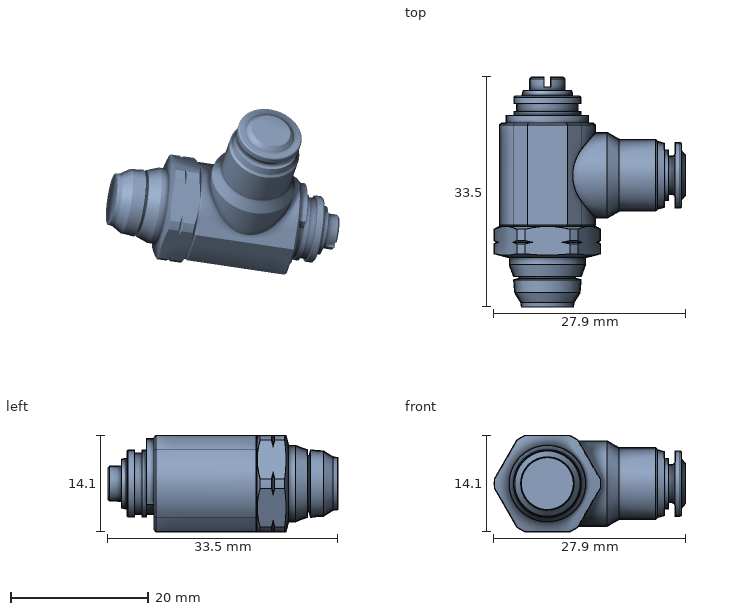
import cadquery as cq
import math


across_flats = 14.05
body_radius = across_flats / 2
body_top = 7.6
body_bottom = -7.45
body_top_chamfer = 0.3
body_bottom_chamfer = 0.2

hex_corner_radius = 7.75
hex_top = body_bottom
hex_bottom = -12.0
hex_top_slope = 30
hex_bottom_slope = 15
hex_bottom_face_radius = 5.63
notch_y = -9.75
notch_width = 0.47
notch_depth = 0.4

stud_radius = 5.55
stud_cone_top = -13.0
stud_cone_bottom = -14.75
stud_cone_end_radius = 4.92
groove_radius = 4.12
groove_floor_bottom = -15.0
nose_top = -15.2
nose_top_radius = 4.92
nose_taper_top = -17.1
nose_taper_radius = 4.75
nose_taper_bottom = -18.5
nose_tip_radius = 3.9
nose_end = -19.2
nose_end_radius = 3.8

core_radius = 4.5
collar_top = 8.7
rim_radius = 4.9
lower_rim_top = 9.3
upper_rim_bottom = 10.42
upper_rim_top = 11.55
rim_chamfer = 0.2
cone_base_radius = 3.7
cone_top_radius = 3.52
cone_bottom = 11.72
cone_top = 12.35
screw_radius = 2.58
screw_top = 14.3
screw_chamfer = 0.27
slot_width = 0.97
slot_depth = 1.45

collar_radius = 6.0
collar_center_z = 0.55
collar_open_z = -3.0

branch_radius = 6.23
branch_shoulder_start = 8.7
branch_shoulder_end = 10.45
sleeve_radius = 5.23
sleeve_end = 15.75
sleeve_chamfer = 0.3
collet_ring_end = 17.02
collet_ring_end_radius = 4.65
collet_step_radius = 3.7
collet_step_end = 17.62
neck_radius = 2.78
flange_start = 18.6
flange_end = 19.53
flange_radius = 4.75
flange_fillet = 0.27
neck_fillet = 0.47
button_base_radius = 3.6
button_end_radius = 2.88
branch_end = 20.15


def turned_about_y(points):
    """Solid of revolution about Y from (radius, y) points."""
    return cq.Workplane("XY").polyline(points).close().revolve(360, (0, 0), (0, 1))


def turned_about_x(points):
    """Solid of revolution about X from (x, radius) points."""
    return cq.Workplane("XY").polyline(points).close().revolve(360, (0, 0), (1, 0))


def disc(radius, y_start, y_end, center_z=0):
    """Cylinder along Y between two stations."""
    start_plane = cq.Plane((0, y_start, center_z), (1, 0, 0), (0, 1, 0))
    return cq.Workplane(start_plane).circle(radius).extrude(y_end - y_start)


def at_station(solid, x, selector):
    """Circular edge of a turned solid at a station along X."""
    reach = 2 * branch_radius
    margin = 0.05
    window = cq.selectors.BoxSelector(
        (x - margin, -reach, -reach), (x + margin, reach, reach), boundingbox=True
    )
    return solid.edges(window).edges("%CIRCLE").edges(selector)


def make_body():
    flat_half = body_radius * math.tan(math.radians(22.5))
    tangent = body_radius * math.sqrt(0.5)
    end_plane = cq.Plane((0, body_bottom, 0), (1, 0, 0), (0, 1, 0))
    body = (
        cq.Workplane(end_plane)
        .moveTo(-flat_half, body_radius)
        .lineTo(flat_half, body_radius)
        .lineTo(tangent, tangent)
        .threePointArc((body_radius, 0), (tangent, -tangent))
        .lineTo(flat_half, -body_radius)
        .lineTo(-flat_half, -body_radius)
        .lineTo(-tangent, -tangent)
        .threePointArc((-body_radius, 0), (-tangent, tangent))
        .close()
        .extrude(body_top - body_bottom)
    )
    body = body.faces(">Y").chamfer(body_top_chamfer)
    return body.faces("<Y").chamfer(body_bottom_chamfer)


def make_hexagon():
    end_plane = cq.Plane((0, hex_bottom, 0), (1, 0, 0), (0, 1, 0))
    sharp_radius = body_radius / math.cos(math.pi / 6)
    corners = [
        (sharp_radius * math.cos(i * math.pi / 3), sharp_radius * math.sin(i * math.pi / 3))
        for i in range(6)
    ]
    prism = cq.Workplane(end_plane).polyline(corners).close().extrude(hex_top - hex_bottom)
    top_drop = (hex_corner_radius - body_radius) * math.tan(math.radians(hex_top_slope))
    bottom_rise = (hex_corner_radius - hex_bottom_face_radius) * math.tan(
        math.radians(hex_bottom_slope)
    )
    envelope = turned_about_y([
        (0, hex_bottom),
        (hex_bottom_face_radius, hex_bottom),
        (hex_corner_radius, hex_bottom + bottom_rise),
        (hex_corner_radius, notch_y - notch_width / 2),
        (hex_corner_radius - notch_depth, notch_y),
        (hex_corner_radius, notch_y + notch_width / 2),
        (hex_corner_radius, hex_top - top_drop),
        (body_radius, hex_top),
        (0, hex_top),
    ])
    return prism.intersect(envelope)


def make_stud():
    return turned_about_y([
        (0, hex_bottom),
        (stud_radius, hex_bottom),
        (stud_radius, stud_cone_top),
        (stud_cone_end_radius, stud_cone_bottom),
        (groove_radius, stud_cone_bottom),
        (groove_radius, groove_floor_bottom),
        (nose_top_radius, nose_top),
        (nose_taper_radius, nose_taper_top),
        (nose_tip_radius, nose_taper_bottom),
        (nose_end_radius, nose_end),
        (0, nose_end),
    ])


def make_cap():
    core = disc(core_radius, body_top, upper_rim_bottom)
    lower_rim = disc(rim_radius, collar_top, lower_rim_top)
    upper_rim = disc(rim_radius, upper_rim_bottom, upper_rim_top)
    upper_rim = upper_rim.faces(">Y").chamfer(rim_chamfer)
    cone = turned_about_y([
        (0, upper_rim_top),
        (cone_base_radius, upper_rim_top),
        (cone_base_radius, cone_bottom),
        (cone_top_radius, cone_top),
        (0, cone_top),
    ])
    screw = disc(screw_radius, cone_top, screw_top).faces(">Y").chamfer(screw_chamfer)
    slot = cq.Workplane("XY").box(slot_width, 2 * slot_depth, 2 * screw_radius)
    screw = screw.cut(slot.translate((0, screw_top, 0)))
    return core.union(lower_rim).union(upper_rim).union(cone).union(screw)


def make_collar():
    collar = disc(collar_radius, body_top, collar_top, collar_center_z)
    opening = cq.Workplane("XY", origin=(0, body_top, collar_open_z)).box(
        2 * collar_radius, 2 * collar_radius, collar_radius, centered=(True, True, False)
    )
    return collar.cut(opening.translate((0, 0, -collar_radius)))


def make_branch():
    branch = turned_about_x([
        (0, 0),
        (0, branch_radius),
        (branch_shoulder_start, branch_radius),
        (branch_shoulder_end, sleeve_radius),
        (sleeve_end, sleeve_radius),
        (sleeve_end + sleeve_chamfer, sleeve_radius - sleeve_chamfer),
        (collet_ring_end, collet_ring_end_radius),
        (collet_ring_end, collet_step_radius),
        (collet_step_end, collet_step_radius),
        (collet_step_end, neck_radius),
        (flange_start, neck_radius),
        (flange_start, flange_radius),
        (flange_end, flange_radius),
        (flange_end, button_base_radius),
        (branch_end, button_end_radius),
        (branch_end, 0),
    ])
    neck_corner = cq.selectors.RadiusNthSelector(0)
    flange_rim = cq.selectors.RadiusNthSelector(-1)
    branch = at_station(branch, flange_start, neck_corner).fillet(neck_fillet)
    return at_station(branch, flange_end, flange_rim).fillet(flange_fillet)


result = (
    make_body()
    .union(make_hexagon())
    .union(make_stud())
    .union(make_cap())
    .union(make_collar())
    .union(make_branch())
)